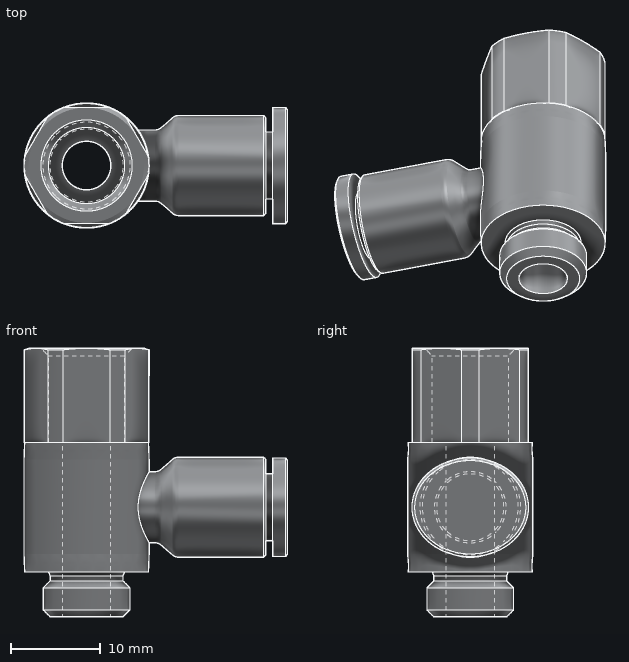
import cadquery as cq
import math

total_height = 30.0
overall_length = 29.45
body_diameter = 14.0
body_radius = body_diameter / 2
body_end_radius = 6.93
body_bottom_z = 5.0
lower_taper_z = 7.0
upper_taper_z = 17.55
body_top_z = 19.5

spigot_radius = 4.85
spigot_neck_radius = 4.08
spigot_chamfer = spigot_radius - spigot_neck_radius
spigot_shoulder_z = 3.25
spigot_neck_top_z = 4.55
spigot_root_radius = 4.25

hex_across_flats = 13.0
hex_across_corners = hex_across_flats / math.cos(math.radians(30))
head_top_radius = 6.45
head_chamfer_height = 0.18

through_hole_radius = 2.7
bore_radius = 4.25
bore_mouth_radius = 5.1
bore_mouth_depth = bore_mouth_radius - bore_radius
bore_bottom_z = body_top_z

branch_z = 12.25
branch_neck_radius = 4.0
sleeve_radius = 5.6
sleeve_cone_end_x = 9.9
sleeve_cone_angle = math.radians(41)
sleeve_cone_length = (sleeve_radius - branch_neck_radius) / math.tan(sleeve_cone_angle)
sleeve_cone_start_x = sleeve_cone_end_x - sleeve_cone_length
sleeve_blend_radius = 1.0
sleeve_end_x = 20.05
sleeve_end_chamfer = 0.27

collar_stem_radius = 3.75
collar_start_x = 20.8
branch_end_x = overall_length - body_radius
collar_half_width = 6.5
collar_half_height = 5.52
collar_chamfer_length = 0.3
collar_chamfer_depth = 0.2


def turned(points):
    """Revolve a closed outline of (radius, z) points about the Z axis."""
    return cq.Workplane("XZ").polyline(points).close().revolve(360, (0, 0, 0), (0, 1, 0))


def make_body():
    """Spigot and barrel, turned as one piece."""
    return turned([
        (0, 0),
        (spigot_radius - spigot_chamfer, 0),
        (spigot_radius, spigot_chamfer),
        (spigot_radius, spigot_shoulder_z),
        (spigot_neck_radius, spigot_shoulder_z + spigot_chamfer),
        (spigot_neck_radius, spigot_neck_top_z),
        (spigot_root_radius, body_bottom_z),
        (body_end_radius, body_bottom_z),
        (body_radius, lower_taper_z),
        (body_radius, upper_taper_z),
        (body_end_radius, body_top_z),
        (0, body_top_z),
    ])


def make_head():
    """Hexagon with flats facing +Y and -Y, trimmed by a chamfered cylinder."""
    hexagon = (
        cq.Workplane("XY", origin=(0, 0, body_top_z))
        .polygon(6, hex_across_corners)
        .extrude(total_height - body_top_z)
    )
    envelope = turned([
        (0, body_top_z),
        (body_radius, body_top_z),
        (body_radius, total_height - head_chamfer_height),
        (head_top_radius, total_height),
        (0, total_height),
    ])
    return hexagon.intersect(envelope)


def make_bore():
    """Through hole opening into a wider bore with a countersunk mouth."""
    return turned([
        (0, 0),
        (through_hole_radius, 0),
        (through_hole_radius, bore_bottom_z),
        (bore_radius, bore_bottom_z),
        (bore_radius, total_height - bore_mouth_depth),
        (bore_mouth_radius, total_height),
        (0, total_height),
    ])


def make_sleeve():
    """Neck, blended cone, cylindrical sleeve and the stem that carries the collar."""
    blend_reach = sleeve_blend_radius * math.tan(sleeve_cone_angle / 2)
    cone_dx = blend_reach * math.cos(sleeve_cone_angle)
    cone_dr = blend_reach * math.sin(sleeve_cone_angle)
    outline = (
        cq.Workplane("XZ", origin=(0, 0, branch_z))
        .lineTo(0, branch_neck_radius)
        .lineTo(sleeve_cone_start_x - blend_reach, branch_neck_radius)
        .tangentArcPoint((sleeve_cone_start_x + cone_dx, branch_neck_radius + cone_dr), relative=False)
        .lineTo(sleeve_cone_end_x - cone_dx, sleeve_radius - cone_dr)
        .tangentArcPoint((sleeve_cone_end_x + blend_reach, sleeve_radius), relative=False)
        .lineTo(sleeve_end_x - sleeve_end_chamfer, sleeve_radius)
        .lineTo(sleeve_end_x, sleeve_radius - sleeve_end_chamfer)
        .lineTo(sleeve_end_x, collar_stem_radius)
        .lineTo(collar_start_x, collar_stem_radius)
        .lineTo(collar_start_x, 0)
        .close()
    )
    return outline.revolve(360, (0, 0, 0), (1, 0, 0))


def make_collar():
    """Elliptical disc, wider along Y than along Z, chamfered on its outer face."""
    disc = (
        cq.Workplane("YZ", origin=(collar_start_x, 0, branch_z))
        .ellipse(collar_half_width, collar_half_height)
        .extrude(branch_end_x - collar_start_x)
    )
    return disc.faces(">X").chamfer(collar_chamfer_depth, collar_chamfer_length)


result = (
    make_body()
    .union(make_head())
    .union(make_sleeve())
    .union(make_collar())
    .cut(make_bore())
)